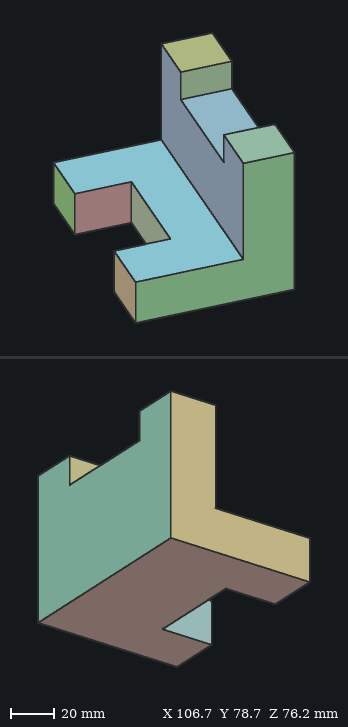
import cadquery as cq

width = 106.7
depth = 78.7
height = 76.2

wall_thickness = 25.4
base_thickness = 22.8

wall_notch_width = 55.9
wall_notch_depth = 15.3

base_notch_width = 50.8
base_notch_depth = 28.0


def centred_block(size_x, size_y, size_z, front_y, bottom_z):
    """Box centred on X, starting at the given front and bottom planes."""
    return (
        cq.Workplane("XY")
        .box(size_x, size_y, size_z, centered=(True, False, False))
        .translate((0, front_y, bottom_z))
    )


wall_front_y = depth - wall_thickness
base = centred_block(width, depth, base_thickness, 0, 0)
wall = centred_block(width, wall_thickness, height, wall_front_y, 0)

wall_notch = centred_block(
    wall_notch_width, wall_thickness, wall_notch_depth, wall_front_y, height - wall_notch_depth
)
base_notch = centred_block(base_notch_width, base_notch_depth, base_thickness, 0, 0)

result = base.union(wall).cut(wall_notch).cut(base_notch)